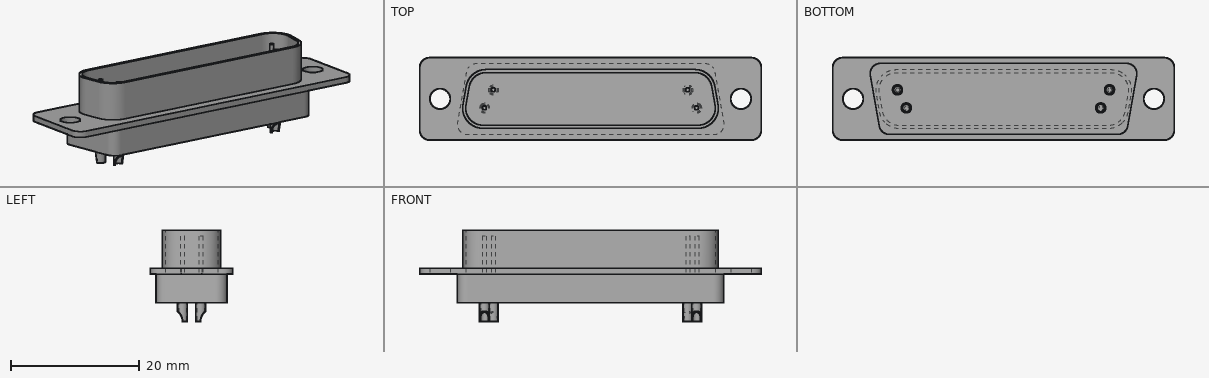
import cadquery as cq
import math

flange_length = 53.4
flange_depth = 12.9
flange_thickness = 0.95
flange_corner_radius = 1.6
mount_hole_diameter = 3.15
mount_hole_offset = 23.5

side_angle = math.radians(10)
shell_width = 39.95
shell_depth = 9.2
shell_height = 5.95
shell_corner_radius = 3.15
shell_wall = 0.5
body_width = 41.65
body_depth = 11.1
body_height = 4.5
body_corner_radius = 1.6

contact_pitch = 2.76
row_spacing = 2.85
front_row_count = 13
back_row_count = 12
pin_diameter = 0.65
pin_height = 6.0
cup_diameter = 1.55
cup_length = 2.95
cup_bore_diameter = 1.2
cup_scoop_radius = 2.15

shell_top = flange_thickness + shell_height
cavity_floor = 0.0
cavity_depth = shell_top - cavity_floor
cup_bottom = -body_height - cup_length


def d_prism(width, depth, radius, bottom, height):
    """Rounded trapezoid prism, widest toward -Y; width is measured over the rounded corners."""
    front_half = width / 2 - radius + radius * (1 + math.sin(side_angle)) / math.cos(side_angle)
    back_half = front_half - depth * math.tan(side_angle)
    corners = [
        (-front_half, -depth / 2),
        (front_half, -depth / 2),
        (back_half, depth / 2),
        (-back_half, depth / 2),
    ]
    prism = cq.Workplane("XY").workplane(offset=bottom).polyline(corners).close().extrude(height)
    return prism.edges("|Z").fillet(radius)


def cylinder(x, y, bottom, diameter, height):
    return cq.Workplane("XY", origin=(x, y, bottom)).circle(diameter / 2).extrude(height)


def solder_cup(x, y):
    """Hollow tail whose outward-facing half is scooped away by a cylinder along X."""
    cup = cylinder(x, y, cup_bottom, cup_diameter, cup_length)
    bore = cylinder(x, y, cup_bottom, cup_bore_diameter, cup_length)
    scoop_y = y + math.copysign(cup_scoop_radius, y)
    scoop = (
        cq.Workplane("YZ", origin=(x, scoop_y, cup_bottom))
        .circle(cup_scoop_radius)
        .extrude(cup_diameter, both=True)
    )
    return cup.cut(bore).cut(scoop)


flange = (
    cq.Workplane("XY")
    .rect(flange_length, flange_depth)
    .extrude(flange_thickness)
    .edges("|Z")
    .fillet(flange_corner_radius)
    .faces(">Z")
    .workplane()
    .pushPoints([(-mount_hole_offset, 0), (mount_hole_offset, 0)])
    .hole(mount_hole_diameter)
)

shell = d_prism(shell_width, shell_depth, shell_corner_radius, flange_thickness, shell_height)
body = d_prism(body_width, body_depth, body_corner_radius, -body_height, body_height)
cavity = d_prism(
    shell_width - 2 * shell_wall,
    shell_depth - 2 * shell_wall,
    shell_corner_radius - shell_wall,
    cavity_floor,
    cavity_depth,
)
result = flange.union(shell).union(body).cut(cavity)

for row_y, count in ((-row_spacing / 2, front_row_count), (row_spacing / 2, back_row_count)):
    row_half_length = (count - 1) * contact_pitch / 2
    for contact_x in (-row_half_length, row_half_length):
        result = result.union(cylinder(contact_x, row_y, cavity_floor, pin_diameter, pin_height))
        result = result.union(solder_cup(contact_x, row_y))